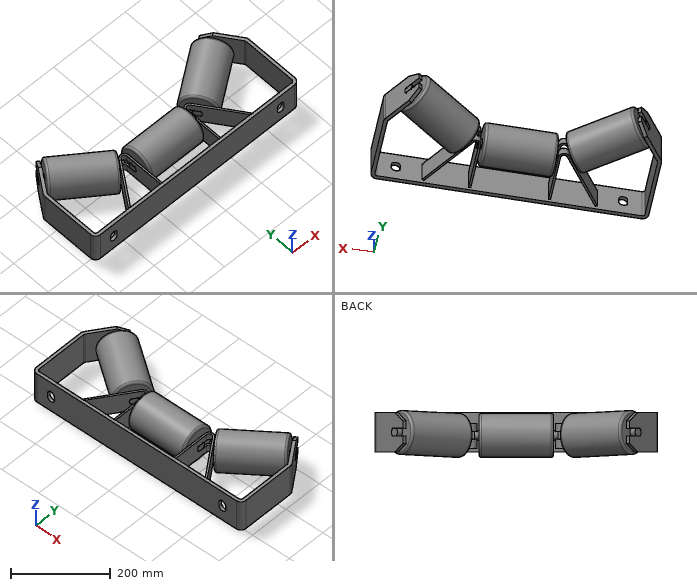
import cadquery as cq
import math

FRAME_WIDTH = 570.0
FRAME_HEIGHT = 80.0
FRAME_THICK = 8.0
FRAME_BEND = 13.5
SIDE_WALL_END = 146.5
EAR_LENGTH = 94.5
EAR_CUT_LENGTH = 28.5
EAR_CUT_HEIGHT = 17.0
MOUNT_SLOT_WIDTH = 18.0
MOUNT_SLOT_HEIGHT = 27.5
MOUNT_SLOT_X = 233.0

TROUGH_ANGLE = 35.0
SIDE_TILT = 2.5
ROLLER_RADIUS = 44.5
ROLLER_LENGTH = 150.0
ROLLER_ROUND = 5.0
AXLE_DIAMETER = 20.5
AXLE_FLATS = 15.5
AXLE_GAP = 4.5
SHOULDER_CLEARANCE = 1.5
CENTRE_ROLLER_Y = 101.0
CENTRE_ROLLER_Z = 33.5
SIDE_ROLLER_ALONG = 29.0
SIDE_ROLLER_Z = 36.5

BRACKET_THICK = 4.5
BRACKET_BEND = 11.5
BRACKET_BOTTOM = 7.5
BRACKET_HEIGHT = 50.0
FOLD_Y = 117.5

SIN = math.sin(math.radians(TROUGH_ANGLE))
COS = math.cos(math.radians(TROUGH_ANGLE))
HALF_ROLLER = ROLLER_LENGTH / 2
EAR_BEND = (FRAME_WIDTH / 2 - FRAME_BEND, SIDE_WALL_END)
FOLD = (HALF_ROLLER + AXLE_GAP + BRACKET_BEND, FOLD_Y)


def polar(centre, radius, degrees):
    angle = math.radians(degrees)
    return (centre[0] + radius * math.cos(angle), centre[1] + radius * math.sin(angle))


def shifted(point, along, outward=0.0):
    """Move a point along the ear direction and outward from the ear face (right-hand side)."""
    return (point[0] - along * SIN + outward * COS, point[1] + along * COS + outward * SIN)


def outward_distance(point):
    return point[0] * COS + point[1] * SIN


EAR_INNER = outward_distance(EAR_BEND) + FRAME_BEND - FRAME_THICK
LEG_OUTER = outward_distance(FOLD) + BRACKET_BEND
SIDE_GAP = (EAR_INNER - LEG_OUTER - ROLLER_LENGTH) / 2
SIDE_CENTRE = shifted((0, 0), SIDE_ROLLER_ALONG, (EAR_INNER + LEG_OUTER) / 2)


def place_side(body):
    """Move a body from the origin (axis on X) to the right-hand side roller."""
    tilted = body.rotate((0, 0, 0), (0, 1, 0), -SIDE_TILT)
    turned = tilted.rotate((0, 0, 0), (0, 0, 1), TROUGH_ANGLE)
    return turned.translate((*SIDE_CENTRE, SIDE_ROLLER_Z))


def cylinder(radius, start, end):
    return cq.Workplane("YZ", origin=(start, 0, 0)).circle(radius).extrude(end - start)


def axle_bar(start, end):
    """Round bar along X with flats above and below."""
    flats = cq.Workplane("XY").box(end - start, AXLE_DIAMETER, AXLE_FLATS)
    return cylinder(AXLE_DIAMETER / 2, start, end).intersect(flats.translate(((start + end) / 2, 0, 0)))


def make_roller(gap, left_plate, right_plate):
    """Roller with axle along X, its flatted tips filling the plates at both ends."""
    face = HALF_ROLLER + gap
    shoulder = face - SHOULDER_CLEARANCE
    drum = cylinder(ROLLER_RADIUS, -HALF_ROLLER, HALF_ROLLER).edges().fillet(ROLLER_ROUND)
    axle = cylinder(AXLE_DIAMETER / 2, -shoulder, shoulder)
    return drum.union(axle).union(axle_bar(-face - left_plate, face + right_plate))


def open_slot(start, end, depth):
    """Cutter for an axle seat that is open toward +Y."""
    mouth = cq.Workplane("XY").box(end - start, depth, AXLE_FLATS)
    return axle_bar(start, end).union(mouth.translate(((start + end) / 2, depth / 2, 0)))


def ear_slot():
    start = HALF_ROLLER + SIDE_GAP / 2
    return place_side(open_slot(start, start + 2 * FRAME_THICK, EAR_LENGTH))


def ear_corner_cuts(ear_tip):
    """Triangular cutters that remove the upper and lower corner of an ear."""
    ear_plane = cq.Plane(origin=(*ear_tip, FRAME_HEIGHT / 2), xDir=(SIN, -COS, 0), normal=(COS, SIN, 0))
    edge = FRAME_HEIGHT / 2
    upper = [(0, -edge), (EAR_CUT_LENGTH, -edge), (0, EAR_CUT_HEIGHT - edge)]
    lower = [(along, -height) for along, height in upper]
    cuts = cq.Workplane(ear_plane)
    return cuts.polyline(upper).close().polyline(lower).close().extrude(-FRAME_THICK)


def make_frame():
    """Right half of the bent bar with its slots and corner cuts, joined to its mirror image."""
    half_width = FRAME_WIDTH / 2
    inner = FRAME_BEND - FRAME_THICK
    corner = (half_width - FRAME_BEND, FRAME_BEND)
    ear_root = polar(EAR_BEND, FRAME_BEND, TROUGH_ANGLE)
    ear_tip = shifted(ear_root, EAR_LENGTH)
    half = (
        cq.Workplane("XY")
        .lineTo(corner[0], 0)
        .threePointArc(polar(corner, FRAME_BEND, -45), (half_width, FRAME_BEND))
        .lineTo(half_width, SIDE_WALL_END)
        .threePointArc(polar(EAR_BEND, FRAME_BEND, TROUGH_ANGLE / 2), ear_root)
        .lineTo(*ear_tip)
        .lineTo(*shifted(ear_tip, 0, -FRAME_THICK))
        .lineTo(*polar(EAR_BEND, inner, TROUGH_ANGLE))
        .threePointArc(polar(EAR_BEND, inner, TROUGH_ANGLE / 2), polar(EAR_BEND, inner, 0))
        .lineTo(*polar(corner, inner, 0))
        .threePointArc(polar(corner, inner, -45), polar(corner, inner, -90))
        .lineTo(0, FRAME_THICK)
        .close()
        .extrude(FRAME_HEIGHT)
    )
    half = half.cut(ear_slot())
    slot = (
        cq.Workplane("XZ", origin=(MOUNT_SLOT_X, 0, FRAME_HEIGHT / 2))
        .slot2D(MOUNT_SLOT_HEIGHT, MOUNT_SLOT_WIDTH, 90)
        .extrude(-FRAME_THICK)
    )
    half = half.cut(slot)
    half = half.cut(ear_corner_cuts(ear_tip))
    return half.union(half.mirror("YZ"))


def make_bracket():
    """Right-hand bracket: straight leg, fold, and leg that leans outward."""
    inner = BRACKET_BEND - BRACKET_THICK
    fold_middle = 90 + TROUGH_ANGLE / 2
    outer_end = polar(FOLD, BRACKET_BEND, TROUGH_ANGLE)
    inner_end = polar(FOLD, inner, TROUGH_ANGLE)
    leg = (inner_end[1] - FRAME_THICK) / COS
    plate = (
        cq.Workplane("XY", origin=(0, 0, BRACKET_BOTTOM))
        .moveTo(FOLD[0] - BRACKET_BEND, FRAME_THICK)
        .lineTo(FOLD[0] - BRACKET_BEND, FOLD_Y)
        .threePointArc(polar(FOLD, BRACKET_BEND, fold_middle), outer_end)
        .lineTo(*shifted(outer_end, -leg))
        .lineTo(*shifted(inner_end, -leg))
        .lineTo(*inner_end)
        .threePointArc(polar(FOLD, inner, fold_middle), polar(FOLD, inner, 180))
        .lineTo(FOLD[0] - inner, FRAME_THICK)
        .close()
        .extrude(BRACKET_HEIGHT)
    )
    centre_seat = open_slot(HALF_ROLLER, HALF_ROLLER + 2 * BRACKET_BEND, FOLD_Y)
    plate = plate.cut(centre_seat.translate((0, CENTRE_ROLLER_Y, CENTRE_ROLLER_Z)))
    side_seat = open_slot(-HALF_ROLLER - SIDE_GAP - 2 * BRACKET_THICK, -HALF_ROLLER, FOLD_Y)
    return plate.cut(place_side(side_seat))


frame = make_frame()

right_bracket = make_bracket()
brackets = [right_bracket, right_bracket.mirror("YZ")]

centre_roller = make_roller(AXLE_GAP, BRACKET_THICK, BRACKET_THICK)
centre_roller = centre_roller.translate((0, CENTRE_ROLLER_Y, CENTRE_ROLLER_Z))
side_roller = place_side(make_roller(SIDE_GAP, BRACKET_THICK, FRAME_THICK))
rollers = [centre_roller, side_roller, side_roller.mirror("YZ")]

result = cq.Compound.makeCompound([frame.val(), *[body.val() for body in brackets + rollers]])